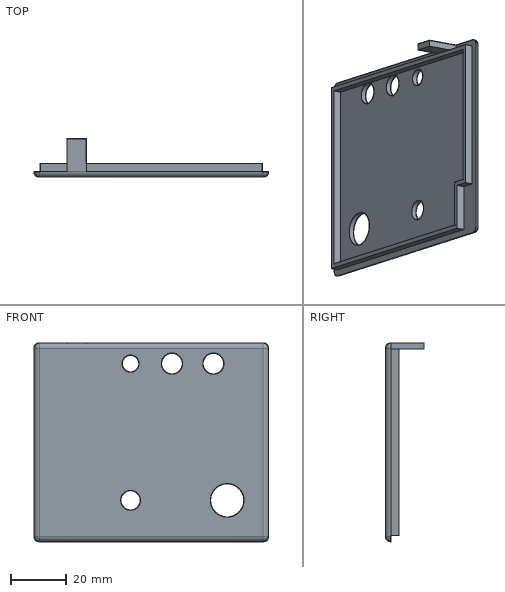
import cadquery as cq

plate_width = 85.0
plate_height = 72.0
plate_thickness = 2.0

rim_inset = 2.25
rim_depth = 3.0
rim_wall = 1.5
rim_left = rim_inset
rim_right = plate_width - rim_inset
rim_bottom = rim_inset
rim_top = plate_height - rim_inset

step_width = 5.0
step_height = 16.0

tab_left = 12.0
tab_width = 7.0
tab_length = 12.0
tab_thickness = rim_inset

upper_row = plate_height - 7.5
lower_row = 15.0
holes = [
    (35.0, upper_row, 6.0),
    (50.0, upper_row, 7.5),
    (65.0, upper_row, 7.5),
    (35.0, lower_row, 7.0),
    (70.0, lower_row, 12.0),
]


def make_plate():
    """Plate whose front edges and corners are rounded over its full thickness."""
    blank_thickness = 2 * plate_thickness
    blank = cq.Workplane("XY").box(plate_width, blank_thickness, plate_height, centered=False)
    rounded = blank.edges("|Y or <Y").fillet(plate_thickness)
    front_half = cq.Workplane("XY").box(plate_width, plate_thickness, plate_height, centered=False)
    return rounded.intersect(front_half)


def make_rim():
    """Closed thin wall that follows the plate outline and steps in at the lower left."""
    outline = [
        (rim_left + step_width, rim_bottom),
        (rim_right, rim_bottom),
        (rim_right, rim_top),
        (rim_left, rim_top),
        (rim_left, rim_bottom + step_height),
        (rim_left + step_width, rim_bottom + step_height),
    ]
    rear_face = cq.Workplane("XZ", origin=(0, plate_thickness, 0))
    filled = rear_face.polyline(outline).close().extrude(-rim_depth)
    inside = rear_face.polyline(outline).close().offset2D(-rim_wall, "intersection").extrude(-rim_depth)
    return filled.cut(inside)


def make_tab():
    tab = cq.Workplane("XY").box(tab_width, tab_length, tab_thickness, centered=False)
    return tab.translate((tab_left, plate_thickness, plate_height - tab_thickness))


def make_hole(x, z, diameter):
    return cq.Workplane("XZ").center(x, z).circle(diameter / 2).extrude(-plate_thickness)


plate = make_plate()
for x, z, diameter in holes:
    plate = plate.cut(make_hole(x, z, diameter))

result = plate.union(make_rim()).union(make_tab())